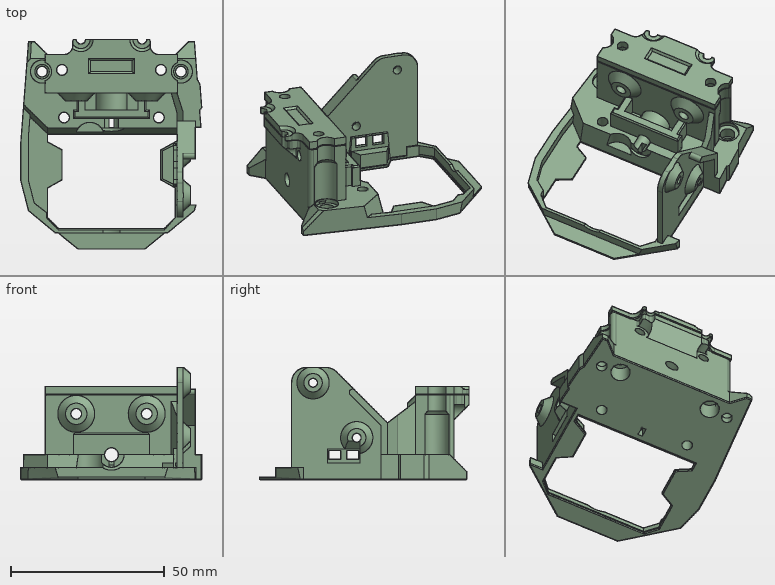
import cadquery as cq
import math


foot_chamfer = 0.35
floor_top = 0.95
rim_top = 4.0
deck_top = 8.25
block_top = 27.6
lid_top = 30.5
plate_top = 36.7

back_y = 16.7
back_half_width = 27.0
horn_inner_x = 25.0
widest_half_width = 29.5
widest_back_y = -16.35
widest_front_y = -28.4
tongue_y = -50.7
tongue_half_width = 10.9
rim_front_y = -45.5
floor_corner = (27.2, -37.4)
rim_corner = (27.0, -38.25)
rim_front_half_width = 18.3
floor_front_half_width = 17.2
side_slope = (widest_half_width - back_half_width) / (back_y - widest_back_y)
gap_back_y = -11.2
gap_front_y = -36.4

opening_half_width = 20.7
opening_back_y = -13.1
opening_front_y = -44.05
opening_bend_y = -40.5
tab_tip_x = 16.0
tab_root_y = (-15.9, -30.9)
tab_tip_y = (-18.5, -28.2)

deck_front_y = -11.4
deck_draft = 2.05
deck_corner_y = -3.75
rear_slope_y = 11.2
deck_hole = (15.4, -8.0)
scallop_center = (-7.0, -14.25)
scallop_radius = 4.7
scallop_floor_z = 3.55

block_half_width = 21.55
block_depth = 12.55
block_corner_radius = 1.35
nose_half_width = 12.6
nose_y = 17.45
nose_fillet = 2.8
nose_tip_radius = 0.7
nose_lip_height = 3.1
shoulder_half_width = 11.9
shoulder_y = 15.95
shoulder_radius = 0.8
root_radius = 0.7
screw_head = 6.0
small_hole = 3.4
lid_hole = (16.1, 7.5)
lid_screw_head = 6.2
lid_screw_head_top = 7.65
ear_x = 9.95
ear_hole = 3.0
ear_seat = 6.0
ear_sink = 8.0
ear_seat_z = 29.5
label_pocket = (14.85, 4.9)
label_pocket_y = 8.7
label_pocket_depth = 0.7

channel = (22.55, 6.95)
channel_lower_diameter = 8.05
channel_upper_diameter = 6.2
channel_cone = (21.35, 22.5)
seat_diameter = 7.5
seat_depth = 1.35
seat_bore_diameter = 4.7
seat_bore_bottom = 2.7

boss = (11.45, 21.55)
boss_radii = (6.0, 3.5)
boss_height = 2.6
wall_half_width = 12.35
wall_y = (-8.3, -5.6)
wall_top = 15.35
wall_chamfer = 0.5
arm_x = (8.6, 11.25)
tunnel_z = deck_top
tunnel_diameter = 4.4
tunnel_hump_radius = 5.05
tunnel_recess_radius = 4.1
key_slot_width = 1.5
key_slot_lip = 0.2
key_slot_lip_z = 4.9

plate_x = (21.35, 23.2)
plate_y = (-40.3, -9.1)
plate_valley_z = 18.6
plate_radius = 5.0
plate_holes = [(-19.1, 13.8), (-33.3, 31.6)]
plate_hole = 2.8
plate_boss_radii = (5.25, 3.0)
plate_boss_height = 2.5
stiffener_x = 27.3
stiffener_end_y = -19.7
gusset_bend_y = -6.55
gusset_start_x = 19.4
gusset_top_z = 25.55

clip_inset = 0.6
clip_ledge_z = 5.6
clip_frame_x = 20.2
clip_frame_y = (-29.6, -17.1)
clip_frame_taper = 0.8
clip_top = 10.3
window_spans = [(-22.3, -18.5), (-28.15, -24.35)]
window_z = (6.8, 9.6)
relief_floor_x = 21.7
relief_y = (-28.6, -18.0)
relief_z = (5.6, 10.15)


def box(x, y, z):
    """Box between two X, two Y and two Z values."""
    size = (x[1] - x[0], y[1] - y[0], z[1] - z[0])
    return cq.Workplane("XY").box(*size, centered=False).translate((x[0], y[0], z[0]))


def prism(points, z_low, z_high):
    return cq.Workplane("XY").workplane(offset=z_low).polyline(points).close().extrude(z_high - z_low)


def side_prism(points, x_low, x_high):
    """Outline in Y and Z, extruded along X."""
    return cq.Workplane("YZ").workplane(offset=x_low).polyline(points).close().extrude(x_high - x_low)


def drafted(low_points, high_points, z_low, z_high):
    """Solid with flat sides between a lower and an upper outline."""
    lower = cq.Workplane("XY").workplane(offset=z_low).polyline(low_points).close()
    upper = lower.workplane(offset=z_high - z_low).polyline(high_points).close()
    return upper.loft(ruled=True)


def post(x, y, diameter, z_low, z_high):
    return cq.Workplane("XY", origin=(x, y, z_low)).circle(diameter / 2).extrude(z_high - z_low)


def cone(origin, direction, low_radius, high_radius, height):
    return cq.Workplane(cq.Solid.makeCone(
        low_radius, high_radius, height, cq.Vector(*origin), cq.Vector(*direction)))


def rod_y(x, z, radius, y_low, y_high):
    return cq.Workplane("XZ", origin=(x, y_low, z)).circle(radius).extrude(y_low - y_high)


def side_x(y):
    """Half width of the straight rear sides at a given Y."""
    return back_half_width + side_slope * (back_y - y)


def rear_outline():
    """Rear edge and right-hand side with its shallow bump, from left to right."""
    bump = 0.75
    bump_back_y = 2.85
    bump_front_y = -4.8
    return [
        (-back_half_width, back_y),
        (-horn_inner_x, back_y),
        (-horn_inner_x + (back_y - block_depth), block_depth),
        (horn_inner_x - (back_y - block_depth), block_depth),
        (horn_inner_x, back_y),
        (back_half_width, back_y),
        (side_x(bump_back_y + 2 * bump), bump_back_y + 2 * bump),
        (side_x(bump_back_y) + bump, bump_back_y),
        (side_x(bump_front_y) + bump, bump_front_y),
        (side_x(bump_front_y - bump), bump_front_y - bump),
        (side_x(gap_back_y), gap_back_y),
        (plate_x[1], gap_back_y),
    ]


def gap_corner():
    """Outer corner where the right-hand rim starts again."""
    lean = (widest_half_width - rim_corner[0]) / (widest_front_y - rim_corner[1])
    return (widest_half_width - lean * (widest_front_y - gap_front_y), gap_front_y)


def make_floor():
    outline = rear_outline() + [
        (plate_x[1], gap_front_y),
        gap_corner(),
        floor_corner,
        (tongue_half_width, tongue_y),
        (-tongue_half_width, tongue_y),
        (-floor_corner[0], floor_corner[1]),
        (-widest_half_width, widest_front_y),
        (-widest_half_width, widest_back_y),
    ]
    tab = [
        (opening_half_width, tab_root_y[0]),
        (tab_tip_x, tab_tip_y[0]),
        (tab_tip_x, tab_tip_y[1]),
        (opening_half_width, tab_root_y[1]),
        (opening_half_width, opening_bend_y),
        (floor_front_half_width, opening_front_y),
    ]
    left = [(-x, y) for x, y in reversed(tab)] + [(-opening_half_width, opening_back_y)]
    tab_slope = (tab_root_y[0] - tab_tip_y[0]) / (opening_half_width - tab_tip_x)
    plate_root_y = tab_root_y[0] + tab_slope * (plate_x[0] - opening_half_width)
    right = [(plate_x[0], opening_back_y), (plate_x[0], plate_root_y)] + tab[1:]
    floor = prism(outline, 0, floor_top).cut(prism(right + left, 0, floor_top))
    return floor.faces("<Z").edges().chamfer(foot_chamfer)


def make_rim():
    inner = [
        (opening_half_width, gap_front_y),
        (opening_half_width, opening_bend_y),
        (floor_front_half_width, -44.5),
        (-floor_front_half_width, -44.5),
        (-21.1, -40.55),
        (-21.1, -38.85),
        (-25.1, -35.8),
        (-27.0, widest_front_y),
        (-27.0, -14.3),
        (-25.9, 0),
    ]

    def band(corner, front_half_width):
        return [
            (-side_x(0), 0),
            (-widest_half_width, widest_back_y),
            (-widest_half_width, widest_front_y),
            (-corner[0], corner[1]),
            (-front_half_width, rim_front_y),
            (front_half_width, rim_front_y),
            corner,
            gap_corner(),
        ] + inner

    return drafted(
        band(floor_corner, floor_front_half_width), band(rim_corner, rim_front_half_width),
        foot_chamfer, rim_top)


def make_deck():
    def outline(shift):
        corner_y = deck_corner_y - shift
        return rear_outline() + [
            (plate_x[1], deck_front_y - shift),
            (-opening_half_width, deck_front_y - shift),
            (-side_x(corner_y), corner_y),
        ]

    deck = drafted(outline(deck_draft), outline(0), foot_chamfer, deck_top)
    rear_slope = side_prism(
        [(rear_slope_y, deck_top), (rear_slope_y + deck_top, 0), (rear_slope_y + deck_top, deck_top)],
        -widest_half_width, widest_half_width)
    bevel_widening = 0.4
    bevel_section = cq.Wire.makePolygon([
        cq.Vector(-26.3, rear_slope_y, deck_top),
        cq.Vector(-28.8, rear_slope_y - 2.7, deck_top),
        cq.Vector(-28.8, rear_slope_y, deck_top),
    ], close=True)
    bevel = cq.Solid.extrudeLinear(bevel_section, [], cq.Vector(bevel_widening, deck_top, -deck_top))
    scallop = post(*scallop_center, 2 * scallop_radius, scallop_floor_z, deck_top)
    return deck.cut(rear_slope).cut(cq.Workplane(bevel)).cut(scallop)


def lid_outline():
    """Outline of the lid with its rear nose and the rounded inner corners."""
    bend = nose_fillet * (1 - math.sqrt(0.5))
    fillet_x = nose_half_width + nose_fillet
    outline = cq.Workplane("XY").moveTo(-block_half_width, 0).lineTo(block_half_width, 0)
    outline = outline.lineTo(block_half_width, block_depth).lineTo(fillet_x, block_depth)
    outline = outline.threePointArc(
        (nose_half_width + bend, block_depth + bend), (nose_half_width, block_depth + nose_fillet))
    outline = outline.lineTo(nose_half_width, nose_y).lineTo(-nose_half_width, nose_y)
    outline = outline.lineTo(-nose_half_width, block_depth + nose_fillet)
    outline = outline.threePointArc((-nose_half_width - bend, block_depth + bend), (-fillet_x, block_depth))
    return outline.lineTo(-block_half_width, block_depth).close()


def make_block():
    block = box((-block_half_width, block_half_width), (0, block_depth), (rim_top, block_top))
    block = block.edges("|Z and >Y").fillet(block_corner_radius)
    bottom_z = block_top - nose_lip_height - nose_y
    height = (bottom_z, block_top)
    shoulder = box((-shoulder_half_width, shoulder_half_width), (0, shoulder_y), height)
    shoulder = shoulder.edges("|Z and >Y").fillet(shoulder_radius)
    nose = shoulder.union(box((-ear_x, ear_x), (0, nose_y), height))
    for side in (-1, 1):
        nose = nose.union(root_fillet(side, *height))
        nose = nose.cut(post(side * ear_x, nose_y, ear_hole, *height))
    support = side_prism([
        (0, block_top),
        (nose_y, block_top),
        (nose_y, bottom_z + nose_y),
        (0, bottom_z),
    ], -block_half_width, block_half_width)
    nose = nose.intersect(support)
    for side in (-1, 1):
        nose = nose.cut(rod_y(side * boss[0], boss[1], screw_head / 2, block_depth, nose_y))
    return block.union(nose)


def root_fillet(side, z_low, z_high):
    """Concave corner between the back of the block and one side of the nose."""
    x = sorted((side * shoulder_half_width, side * (shoulder_half_width + root_radius)))
    corner = box(x, (block_depth, block_depth + root_radius), (z_low, z_high))
    axis_x = side * (shoulder_half_width + root_radius)
    return corner.cut(post(axis_x, block_depth + root_radius, 2 * root_radius, z_low, z_high))


def make_latch_wall():
    wall = box((-wall_half_width, wall_half_width), wall_y, (rim_top, wall_top))
    wall = wall.union(box((-arm_x[1], arm_x[1]), (wall_y[0], 2 * wall_chamfer), (rim_top, wall_top)))
    wall = wall.faces(">Z").edges().chamfer(wall_chamfer)
    wall = wall.cut(box((-arm_x[0], arm_x[0]), (wall_y[1], 2 * wall_chamfer), (rim_top, wall_top)))
    hump = rod_y(0, tunnel_z, tunnel_hump_radius, wall_y[1], 0)
    above_deck = box((-wall_half_width, wall_half_width), (wall_y[1], 0), (rim_top, wall_top))
    return wall.union(hump.intersect(above_deck))


def make_plate():
    rise = plate_top - plate_valley_z
    plate = side_prism([
        (plate_y[1], foot_chamfer),
        (plate_y[1], plate_valley_z),
        (plate_y[1] - rise, plate_top),
        (plate_y[0], plate_top),
        (plate_y[0], foot_chamfer),
    ], *plate_x)
    plate = plate.edges("|X and >Z").fillet(plate_radius)
    outer_reach = plate_x[1] + plate_boss_height
    for y, z in plate_holes:
        bump = cone((plate_x[1], y, z), (1, 0, 0), *plate_boss_radii, plate_boss_height)
        keep = box((plate_x[1], outer_reach), plate_y, (0, plate_top))
        plate = plate.union(bump.intersect(keep))
    thickness = plate_y[1] - gap_back_y
    run = plate_y[1] - stiffener_end_y
    diagonal = thickness * math.sqrt(0.5)
    end_z = plate_valley_z + run
    stiffener = cq.Workplane("YZ").workplane(offset=plate_x[0]).moveTo(plate_y[1], foot_chamfer)
    stiffener = stiffener.lineTo(plate_y[1], plate_valley_z).lineTo(stiffener_end_y, end_z)
    stiffener = stiffener.threePointArc(
        (stiffener_end_y - diagonal, end_z), (stiffener_end_y - diagonal, end_z - diagonal))
    stiffener = stiffener.lineTo(gap_back_y, plate_valley_z + thickness - 2 * diagonal)
    stiffener = stiffener.lineTo(gap_back_y, foot_chamfer).close().extrude(stiffener_x - plate_x[0])
    plate = plate.union(stiffener)
    for y, z in plate_holes:
        bore = cq.Workplane("YZ", origin=(plate_x[0], y, z)).circle(plate_hole / 2)
        plate = plate.cut(bore.extrude(stiffener_x - plate_x[0]))
    return plate


def make_gusset():
    """Bent wall that ties the plate to the front of the block."""
    thickness = plate_x[1] - plate_x[0]
    walls = prism([
        (gusset_start_x, 0),
        (plate_x[0], gusset_bend_y),
        (plate_x[0], plate_y[1]),
        (plate_x[1], plate_y[1]),
        (plate_x[1], gusset_bend_y + 0.7),
        (gusset_start_x + thickness, 0.1),
    ], rim_top, gusset_top_z)
    profile = side_prism([
        (0.1, rim_top),
        (0.1, gusset_top_z),
        (plate_y[1], plate_valley_z),
        (plate_y[1], rim_top),
    ], gusset_start_x, plate_x[1])
    return walls.intersect(profile)


def make_clip():
    ledge = prism([
        (plate_x[0], tab_root_y[0] - clip_inset),
        (tab_tip_x + clip_inset, tab_tip_y[0] - clip_inset / 2),
        (tab_tip_x + clip_inset, tab_tip_y[1] + clip_inset / 2),
        (plate_x[0], tab_root_y[1] + clip_inset),
    ], foot_chamfer, clip_ledge_z)
    frame = side_prism([
        (clip_frame_y[0] - clip_frame_taper, foot_chamfer),
        (clip_frame_y[0], clip_top),
        (clip_frame_y[1], clip_top),
        (clip_frame_y[1] + clip_frame_taper, foot_chamfer),
    ], clip_frame_x, plate_x[0])
    return ledge.union(frame)


def cut_windows(body):
    """Windows through clip and plate, and the relief behind them that rises through the boss."""
    for span in window_spans:
        body = body.cut(box((clip_frame_x, plate_x[0]), span, (window_z[0], clip_top)))
        body = body.cut(box(plate_x, span, window_z))
    outer_x = plate_x[1] + plate_boss_height
    profile = [
        (relief_floor_x, relief_z[0]),
        (relief_floor_x, relief_z[1]),
        (plate_x[1], relief_z[1]),
        (outer_x, relief_z[1] + plate_boss_height),
        (outer_x, relief_z[0]),
    ]
    relief = cq.Workplane("XZ", origin=(0, relief_y[1], 0)).polyline(profile).close()
    return body.cut(relief.extrude(relief_y[1] - relief_y[0]))


def screw_channel(side):
    """Stepped vertical channel with a seat and a stepped hole in the deck."""
    x = side * channel[0]
    y = channel[1]
    seat_z = deck_top - seat_depth
    tool = post(x, y, small_hole, 0, seat_z)
    tool = tool.union(post(x, y, seat_bore_diameter, seat_bore_bottom, seat_z))
    tool = tool.union(post(x, y, seat_diameter, seat_z, deck_top))
    tool = tool.union(post(x, y, channel_lower_diameter, deck_top, channel_cone[0]))
    tool = tool.union(cone(
        (x, y, channel_cone[0]), (0, 0, 1), channel_lower_diameter / 2,
        channel_upper_diameter / 2, channel_cone[1] - channel_cone[0]))
    return tool.union(post(x, y, channel_upper_diameter, channel_cone[1], lid_top))


def make_bracket():
    bracket = make_floor().union(make_rim()).union(make_deck()).union(make_block())
    bracket = bracket.union(make_gusset()).union(make_plate()).union(make_clip())
    bracket = cut_windows(bracket)
    for side in (-1, 1):
        x = side * boss[0]
        bracket = bracket.union(cone((x, 0, boss[1]), (0, -1, 0), *boss_radii, boss_height))
    bracket = bracket.union(make_latch_wall())
    for side in (-1, 1):
        bracket = bracket.cut(rod_y(side * boss[0], boss[1], small_hole / 2, -boss_height, nose_y))
        bracket = bracket.cut(post(side * deck_hole[0], deck_hole[1], small_hole, 0, deck_top))
        bracket = bracket.cut(post(side * lid_hole[0], lid_hole[1], small_hole, 0, block_top))
        bracket = bracket.cut(post(
            side * lid_hole[0], lid_hole[1], lid_screw_head, 0, lid_screw_head_top))
        bracket = bracket.cut(screw_channel(side))
    bracket = bracket.cut(rod_y(0, tunnel_z, tunnel_diameter / 2, tongue_y, nose_y))
    bracket = bracket.cut(rod_y(0, tunnel_z, tunnel_recess_radius, opening_back_y, deck_front_y))
    bracket = bracket.cut(rod_y(0, tunnel_z, tunnel_hump_radius, tongue_y, opening_bend_y))
    slot_x = (-key_slot_width / 2, key_slot_width / 2)
    slot_end_y = deck_front_y + key_slot_lip
    bracket = bracket.cut(box(slot_x, (slot_end_y, wall_y[0]), (0, tunnel_z)))
    return bracket.cut(box(slot_x, (deck_front_y, slot_end_y), (key_slot_lip_z, tunnel_z)))


def make_lid():
    lid = lid_outline().extrude(lid_top - block_top)
    lid = lid.edges("|Z and >Y").fillet(nose_tip_radius)
    for side in (-1, 1):
        lid = lid.cut(post(side * channel[0], channel[1], channel_upper_diameter, 0, lid_top))
    lid = lid.faces("<Z").edges().chamfer(foot_chamfer).translate((0, 0, block_top))
    for side in (-1, 1):
        x = side * ear_x
        lid = lid.cut(post(x, nose_y, ear_hole, block_top, lid_top))
        lid = lid.cut(cone(
            (x, nose_y, ear_seat_z), (0, 0, 1), ear_seat / 2, ear_sink / 2, lid_top - ear_seat_z))
        lid = lid.cut(post(side * lid_hole[0], lid_hole[1], small_hole, block_top, lid_top))
    pocket = cq.Workplane("XY", origin=(0, label_pocket_y, lid_top)).rect(*label_pocket)
    return lid.cut(pocket.extrude(-label_pocket_depth, taper=45))


bracket = make_bracket()
lid = make_lid()
result = cq.Compound.makeCompound([bracket.val(), lid.val()])